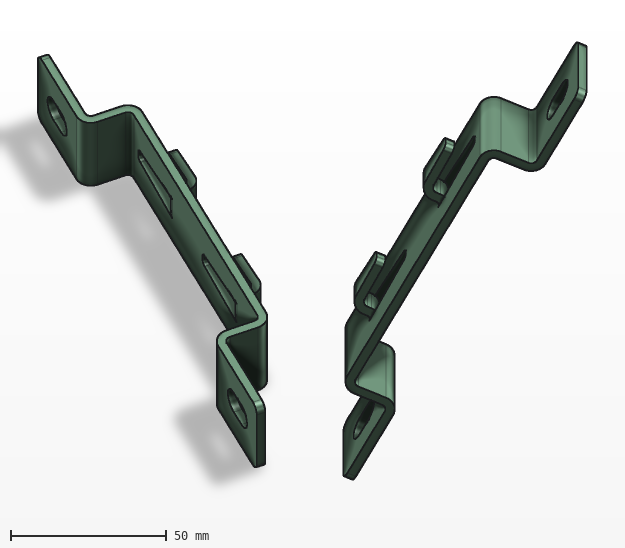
import cadquery as cq
import math

length = 170.0
height = 30.0
thickness = 3.0
rise = 20.0
web_offset = 32.0
inner_bend = 2.0
outer_bend = inner_bend + thickness
corner_radius = 3.0

slot_length = 15.0
slot_width = 9.0
slot_offset = 15.0

overall_depth = 28.0
hook_pitch = 50.0
first_root = 67.0
root_width = 9.0
taper_slope = 0.082
hook_reach = 21.6
window_reach = 26.5
tip_radius = 2.0
window_tip_radius = 1.7
root_inner_bend = 1.5
root_outer_bend = root_inner_bend + thickness


def arc_to(path, center, radius, start, end):
    """Add a circular arc about center, from its start angle to its end angle in degrees."""
    def point(angle):
        turn = math.radians(angle)
        return (center[0] + radius * math.cos(turn), center[1] + radius * math.sin(turn))

    return path.threePointArc(point((start + end) / 2), point(end))


def make_strip():
    """Bent strip, centred on X and Z, with its feet on Y = 0."""
    half = length / 2
    foot_x = half - web_offset + inner_bend
    plate_x = half - web_offset - outer_bend
    foot_y = outer_bend
    plate_y = rise - outer_bend

    path = cq.Workplane("XY").moveTo(-half, 0).lineTo(-foot_x, 0)
    path = arc_to(path, (-foot_x, foot_y), outer_bend, -90, 0)
    path = path.lineTo(-plate_x - inner_bend, plate_y)
    path = arc_to(path, (-plate_x, plate_y), inner_bend, 180, 90)
    path = path.lineTo(plate_x, rise - thickness)
    path = arc_to(path, (plate_x, plate_y), inner_bend, 90, 0)
    path = path.lineTo(foot_x - outer_bend, foot_y)
    path = arc_to(path, (foot_x, foot_y), outer_bend, 180, 270)
    path = path.lineTo(half, 0).lineTo(half, thickness).lineTo(foot_x, thickness)
    path = arc_to(path, (foot_x, foot_y), inner_bend, 270, 180)
    path = path.lineTo(plate_x + outer_bend, plate_y)
    path = arc_to(path, (plate_x, plate_y), outer_bend, 0, 90)
    path = path.lineTo(-plate_x, rise)
    path = arc_to(path, (-plate_x, plate_y), outer_bend, 90, 180)
    path = path.lineTo(-foot_x + inner_bend, foot_y)
    path = arc_to(path, (-foot_x, foot_y), inner_bend, 0, -90)
    path = path.lineTo(-half, thickness).close()
    strip = path.extrude(height / 2, both=True)
    return strip.edges("|Y and (<X or >X)").fillet(corner_radius)


def make_slots():
    """Cutters for the obround slots in both feet."""
    slot_x = length / 2 - slot_offset
    slots = cq.Workplane("XZ").pushPoints([(-slot_x, 0), (slot_x, 0)])
    return slots.slot2D(slot_length, slot_width).extrude(-thickness)


def make_taper(reach, radius):
    """Tapered prism through the whole depth, with its root at X = 0 and a rounded tip at -X."""
    root_half = root_width / 2
    tip_half = root_half - taper_slope * reach
    outline = [(0, -root_half), (0, root_half), (-reach, tip_half), (-reach, -tip_half)]
    taper = cq.Workplane("XZ").polyline(outline).close().extrude(-overall_depth)
    return taper.edges("|Y and <X").fillet(radius)


def make_hook():
    """S-bent hook rising from its root at X = 0 and ending towards -X."""
    root_center = (0, rise + root_inner_bend)
    bend_center = (-root_inner_bend - outer_bend, overall_depth - outer_bend)
    path = cq.Workplane("XY").moveTo(0, rise - thickness)
    path = arc_to(path, root_center, root_outer_bend, 270, 180)
    path = path.lineTo(-root_outer_bend, bend_center[1])
    path = arc_to(path, bend_center, inner_bend, 0, 90)
    path = path.lineTo(-hook_reach, overall_depth - thickness)
    path = path.lineTo(-hook_reach, overall_depth)
    path = path.lineTo(bend_center[0], overall_depth)
    path = arc_to(path, bend_center, outer_bend, 90, 0)
    path = path.lineTo(-root_inner_bend, root_center[1])
    path = arc_to(path, root_center, root_inner_bend, 180, 270)
    bent = path.close().extrude(root_width / 2, both=True)
    return bent.intersect(make_taper(hook_reach, tip_radius))


result = make_strip().cut(make_slots())
window = make_taper(window_reach, window_tip_radius)
hook = make_hook()
for index in range(2):
    root = (first_root - length / 2 + index * hook_pitch, 0, 0)
    result = result.cut(window.translate(root)).union(hook.translate(root))